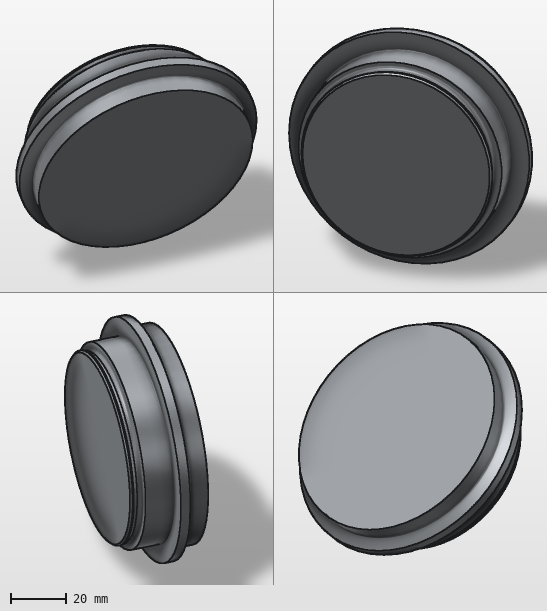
import cadquery as cq
import math

face_radius = 70.7 / 2
lip_radius = 72.2 / 2
groove_radius = 35.55
body_radius = 76.8 / 2
flange_radius = 90.9 / 2
hub_radius = 81.9 / 2

total_length = 28.1
lip_start = 0.8
lip_end = 1.3
groove_start = 2.7
shoulder = 4.9
flange_start = 16.0
flange_end = 19.6

groove_fillet = 1.6
body_fillet = 0.5
flange_fillet = 0.7
flange_back_angle = math.radians(20)


corner_x = flange_end + (flange_radius - hub_radius) * math.tan(flange_back_angle)
blend_turn = math.pi / 2 - flange_back_angle
tangent_length = flange_fillet * math.tan(blend_turn / 2)
blend_start = (
    corner_x - tangent_length * math.sin(flange_back_angle),
    hub_radius + tangent_length * math.cos(flange_back_angle),
)
blend_end = (corner_x + tangent_length, hub_radius)


def concave_quarter(profile, face_x, base_radius, fillet):
    """Add a quarter-round blend from a cylinder out to the face at face_x."""
    return (
        profile.lineTo(face_x - fillet, base_radius)
        .radiusArc((face_x, base_radius + fillet), -fillet)
    )


profile = cq.Workplane("XY").lineTo(0, face_radius)

profile = (
    profile.lineTo(lip_start, lip_radius)
    .lineTo(lip_end, lip_radius)
    .lineTo(groove_start, groove_radius)
)
profile = concave_quarter(profile, shoulder, groove_radius, groove_fillet)

profile = profile.lineTo(shoulder, body_radius)
profile = concave_quarter(profile, flange_start, body_radius, body_fillet)

profile = (
    profile.lineTo(flange_start, flange_radius)
    .lineTo(flange_end, flange_radius)
    .lineTo(*blend_start)
    .radiusArc(blend_end, -flange_fillet)
    .lineTo(total_length, hub_radius)
    .lineTo(total_length, 0)
    .close()
)

result = profile.revolve(360, (0, 0, 0), (1, 0, 0))